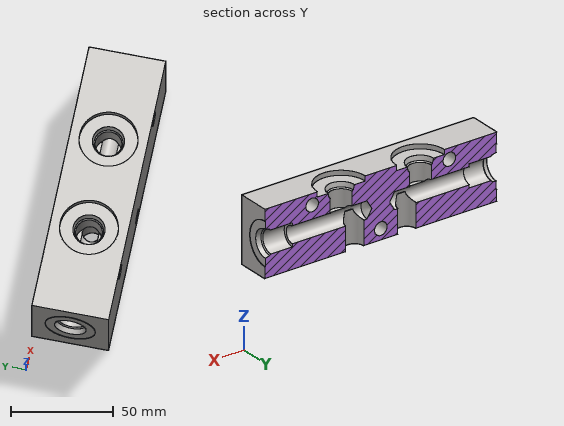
import cadquery as cq
import math

length = 139.7
width = 38.1
half_length = length / 2
half_width = width / 2

mount_diameter = 7.3
mount_spacing = 82.5
mount_offset = 12.7

seat_diameter = 15.6
seat_depth = 2.7
thread_diameter = 14.2
bore_diameter = 13.0

top_spacing = 47.6
top_spotface_diameter = 28.6
top_spotface_depth = 2.8
top_port_depth = 16.3

end_spotface_diameter = 24.9
end_spotface_depth = 0.3
end_port_depth = 16.5
gallery_diameter = 9.6
gallery_depth = 61.5
drill_point_angle = 118.0

bottom_hole_diameter = 10.9
bottom_spacing = 31.5


def port(spotface_diameter, spotface_depth, depth):
    """Port cutter along -Z with its mouth at the origin."""
    spotface_radius = spotface_diameter / 2
    seat_radius = seat_diameter / 2
    thread_radius = thread_diameter / 2
    bore_radius = bore_diameter / 2
    seat_bottom = spotface_depth + seat_depth
    bore_top = seat_bottom + thread_radius - bore_radius
    return (
        cq.Workplane("XZ")
        .moveTo(0, 0)
        .lineTo(spotface_radius, 0)
        .lineTo(spotface_radius, -spotface_depth)
        .lineTo(seat_radius, -spotface_depth)
        .lineTo(thread_radius, -seat_bottom)
        .lineTo(bore_radius, -bore_top)
        .lineTo(bore_radius, -depth)
        .lineTo(0, -depth)
        .close()
        .revolve(360, (0, 0, 0), (0, 1, 0))
    )


def gallery():
    """Drilled hole along -Z with a conical bottom."""
    radius = gallery_diameter / 2
    point_height = radius / math.tan(math.radians(drill_point_angle / 2))
    return (
        cq.Workplane("XZ")
        .moveTo(0, 0)
        .lineTo(radius, 0)
        .lineTo(radius, -gallery_depth)
        .lineTo(0, -gallery_depth - point_height)
        .close()
        .revolve(360, (0, 0, 0), (0, 1, 0))
    )


result = cq.Workplane("XY").box(length, width, width)

mount_points = [
    (-mount_spacing / 2, mount_offset),
    (mount_spacing / 2, mount_offset),
    (0, -mount_offset),
]
mounts = (
    cq.Workplane("XZ")
    .pushPoints(mount_points)
    .circle(mount_diameter / 2)
    .extrude(half_width, both=True)
)
result = result.cut(mounts)

top_port = port(top_spotface_diameter, top_spotface_depth, top_port_depth)
end_passage = port(end_spotface_diameter, end_spotface_depth, end_port_depth).union(gallery())
bottom_hole = cq.Workplane("XY").circle(bottom_hole_diameter / 2).extrude(-half_width)

for side in (-1, 1):
    result = result.cut(top_port.translate((side * top_spacing / 2, 0, half_width)))
    end_cutter = end_passage.rotate((0, 0, 0), (0, 1, 0), side * 90)
    result = result.cut(end_cutter.translate((side * half_length, 0, 0)))
    result = result.cut(bottom_hole.translate((side * bottom_spacing / 2, 0, 0)))